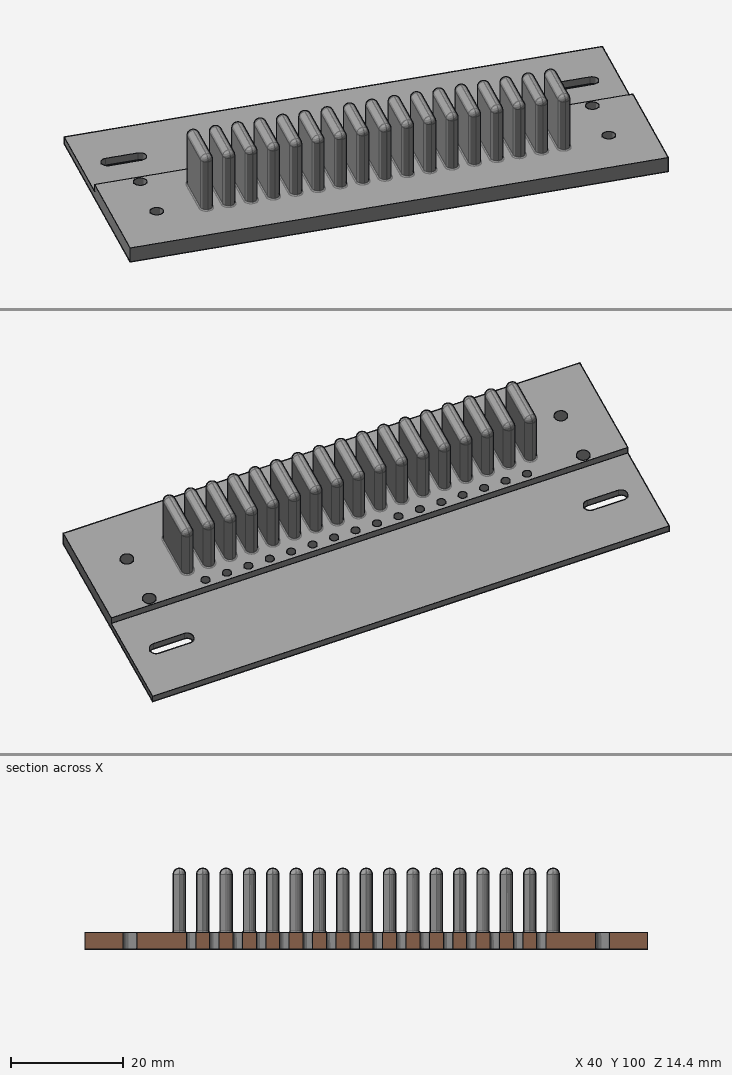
import cadquery as cq
plate_width = 40.0
plate_length = 100.0
shelf_thickness = 1.5
deck_thickness = 3.0
step_x = 18.5

total_height = 14.4
fin_count = 17
fin_row_length = 66.4
fin_pitch = fin_row_length / (fin_count - 1)
fin_thickness = 2.2
fin_length = 10.1
fin_center_x = 27.4
edge_flat = 0.02
fin_radius = (fin_thickness - edge_flat) / 2
fin_round = fin_radius - edge_flat / 2
base_fillet = 0.22
gap_hole_diameter = 1.6

mount_inset = 8.0
mount_diameter = 2.4
slot_length = 8.4
slot_x = plate_width / 4
inner_hole_x = plate_width / 2
outer_hole_x = plate_width * 3 / 4


def centered_row(count):
    """Y positions, one fin pitch apart, centred on the length of the plate."""
    start = (plate_length - (count - 1) * fin_pitch) / 2
    return [start + index * fin_pitch for index in range(count)]


def make_plate():
    return (
        cq.Workplane("XZ")
        .lineTo(plate_width, 0)
        .lineTo(plate_width, deck_thickness)
        .lineTo(step_x, deck_thickness)
        .lineTo(step_x, shelf_thickness)
        .lineTo(0, shelf_thickness)
        .close()
        .extrude(-plate_length)
    )


def make_fins():
    """Fins with rounded upright and top edges, standing on the deck."""
    return (
        cq.Workplane("XY", origin=(0, 0, deck_thickness))
        .pushPoints([(fin_center_x, y) for y in centered_row(fin_count)])
        .rect(fin_length, fin_thickness)
        .extrude(total_height - deck_thickness)
        .edges("|Z")
        .fillet(fin_radius)
        .faces(">Z")
        .edges()
        .fillet(fin_round)
    )


def fin_base_edges():
    """Selector for the edges where the fins meet the deck."""
    margin = 0.5
    half_length = fin_length / 2 + margin
    half_row = (fin_row_length + fin_thickness) / 2 + margin
    middle_y = plate_length / 2
    return cq.selectors.BoxSelector(
        (fin_center_x - half_length, middle_y - half_row, deck_thickness - margin),
        (fin_center_x + half_length, middle_y + half_row, deck_thickness + margin),
    )


def through_holes(points, diameter):
    return cq.Workplane("XY").pushPoints(points).circle(diameter / 2).extrude(deck_thickness)


def through_slots(points):
    slots = cq.Workplane("XY").pushPoints(points).slot2D(slot_length, mount_diameter, 90)
    return slots.extrude(shelf_thickness)


mount_rows = [mount_inset, plate_length - mount_inset]
mount_points = [(x, y) for x in (inner_hole_x, outer_hole_x) for y in mount_rows]
slot_points = [(slot_x, y) for y in mount_rows]
gap_points = [(inner_hole_x, y) for y in centered_row(fin_count - 1)]

result = (
    make_plate()
    .union(make_fins())
    .edges(fin_base_edges())
    .fillet(base_fillet)
    .cut(through_holes(mount_points, mount_diameter))
    .cut(through_holes(gap_points, gap_hole_diameter))
    .cut(through_slots(slot_points))
)